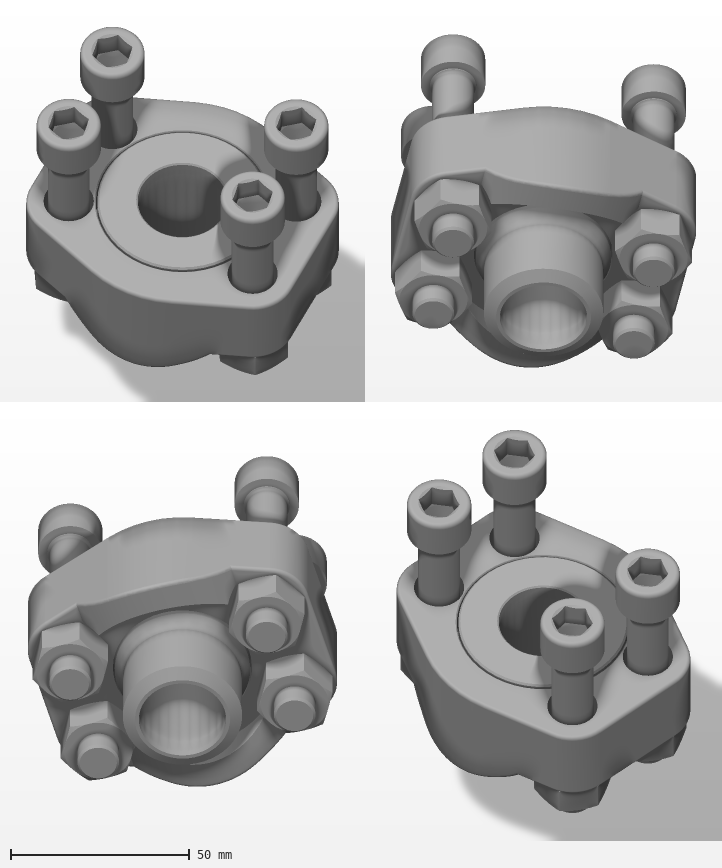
import cadquery as cq
import math


SCREW_X = 57.2 / 2
SCREW_Y = 27.8 / 2
SCREW_POSITIONS = [(sx * SCREW_X, sy * SCREW_Y) for sx in (-1, 1) for sy in (-1, 1)]

FLANGE_BOTTOM = 25.5
FLANGE_THICKNESS = 24.05
FLANGE_TOP = FLANGE_BOTTOM + FLANGE_THICKNESS
FLANGE_HALF_LENGTH = 81.0 / 2
FLANGE_ARC_RADIUS = 69.9 / 2
CORNER_RADIUS = FLANGE_HALF_LENGTH - SCREW_X
FLANGE_FILLET = 1.0
SCREW_HOLE_DIAMETER = 14.0
NUT_RELIEF_DIAMETER = 22.15

LOBE_RADIUS = 31.1
LOBE_DROP = 9.5
LOBE_INNER_RADIUS = 26.8

COLLAR_DIAMETER = 47.6
COLLAR_SEAT_DIAMETER = 48.4
COLLAR_SEAT_CHAMFER = 0.35
COLLAR_HEIGHT = 9.5
COLLAR_PROUD = 0.5
COLLAR_CHAMFER = 0.5
BODY_DIAMETER = 37.9
BODY_BORE_DIAMETER = 38.8
BODY_BELOW_FLANGE = 0.8
NECK_DIAMETER = 33.4
NECK_TOP = 20.15
WELD_BEVEL_DIAMETER = 26.55
WELD_BEVEL_HEIGHT = 2.0
INSERT_TOP = FLANGE_TOP + COLLAR_PROUD
COLLAR_BOTTOM = INSERT_TOP - COLLAR_HEIGHT
BORE_TOP_DIAMETER = 25.0
BORE_END_DIAMETER = 24.4
BORE_STRAIGHT_DEPTH = 4.8
BORE_CHAMFER = 0.4

SCREW_TOP = 86.5
HEAD_DIAMETER = 18.0
HEAD_HEIGHT = 12.0
HEAD_FILLET = 1.3
HEAD_BOTTOM = SCREW_TOP - HEAD_HEIGHT
SHANK_DIAMETER = 11.7
SHANK_LENGTH = 65.0
FLARE_DIAMETER = 13
FLARE_RIM_HEIGHT = 0.35
FLARE_ARC_HEIGHT = 0.95
TIP_DIAMETER = 10.4
TIP_CHAMFER = (SHANK_DIAMETER - TIP_DIAMETER) / 2
SOCKET_FLATS = 10.0
SOCKET_DEPTH = 7.3
SOCKET_MOUTH_DIAMETER = 11.7
SOCKET_ROTATION = 40
SOCKET_CONE_ANGLE = 120
SOCKET_MOUTH_ANGLE = 120

NUT_FLATS = 19
NUT_HEIGHT = 9.95
NUT_CHAMFER_ANGLE = 30


def corner_diameter(flats):
    """Diameter across the corners of a hexagon with the given width across flats."""
    return flats / math.cos(math.radians(30))


def revolved(profile):
    """Solid of revolution about Z from a closed (radius, z) profile."""
    return cq.Workplane("XZ").polyline(profile).close().revolve(360, (0, 0, 0), (0, 1, 0))


def flange_outline():
    """Outline of two broad arcs and four corner arcs joined by tangent lines."""
    screw_distance = math.hypot(SCREW_X, SCREW_Y)
    screw_bearing = math.atan2(SCREW_X, SCREW_Y)
    radius_step = FLANGE_ARC_RADIUS - CORNER_RADIUS
    tilt = screw_bearing - math.acos(radius_step / screw_distance)

    broad_x = FLANGE_ARC_RADIUS * math.sin(tilt)
    broad_y = FLANGE_ARC_RADIUS * math.cos(tilt)
    corner_x = SCREW_X + CORNER_RADIUS * math.sin(tilt)
    corner_y = SCREW_Y + CORNER_RADIUS * math.cos(tilt)
    side_x = FLANGE_HALF_LENGTH
    return (
        cq.Workplane("XY")
        .moveTo(-broad_x, broad_y)
        .radiusArc((broad_x, broad_y), FLANGE_ARC_RADIUS)
        .lineTo(corner_x, corner_y)
        .radiusArc((side_x, SCREW_Y), CORNER_RADIUS)
        .lineTo(side_x, -SCREW_Y)
        .radiusArc((corner_x, -corner_y), CORNER_RADIUS)
        .lineTo(broad_x, -broad_y)
        .radiusArc((-broad_x, -broad_y), FLANGE_ARC_RADIUS)
        .lineTo(-corner_x, -corner_y)
        .radiusArc((-side_x, -SCREW_Y), CORNER_RADIUS)
        .lineTo(-side_x, SCREW_Y)
        .radiusArc((-corner_x, corner_y), CORNER_RADIUS)
        .close()
    )


def make_flange():
    lobe_bottom = FLANGE_BOTTOM - LOBE_DROP
    lobe_half_width = math.sqrt(LOBE_RADIUS**2 - (LOBE_RADIUS - LOBE_DROP) ** 2)

    side_profile = (
        cq.Workplane("XZ")
        .moveTo(-FLANGE_HALF_LENGTH, FLANGE_TOP)
        .lineTo(-FLANGE_HALF_LENGTH, FLANGE_BOTTOM)
        .lineTo(-lobe_half_width, FLANGE_BOTTOM)
        .threePointArc((0, lobe_bottom), (lobe_half_width, FLANGE_BOTTOM))
        .lineTo(FLANGE_HALF_LENGTH, FLANGE_BOTTOM)
        .lineTo(FLANGE_HALF_LENGTH, FLANGE_TOP)
        .close()
        .extrude(FLANGE_ARC_RADIUS, both=True)
    )
    outline_prism = flange_outline().extrude(FLANGE_TOP)
    flange = side_profile.intersect(outline_prism)
    flange = flange.edges("not |Z").edges("not |Y").fillet(FLANGE_FILLET)

    lobe_clearance = cq.Workplane("XY").circle(LOBE_INNER_RADIUS).extrude(FLANGE_BOTTOM)
    nut_reliefs = (
        cq.Workplane("XY")
        .pushPoints(SCREW_POSITIONS)
        .circle(NUT_RELIEF_DIAMETER / 2)
        .extrude(FLANGE_BOTTOM)
    )
    seat = (
        cq.Workplane("XY", origin=(0, 0, COLLAR_BOTTOM))
        .circle(COLLAR_SEAT_DIAMETER / 2)
        .extrude(FLANGE_TOP - COLLAR_BOTTOM)
    )
    seat_mouth_radius = COLLAR_SEAT_DIAMETER / 2 + COLLAR_SEAT_CHAMFER
    seat_mouth = revolved([
        (0, FLANGE_TOP),
        (seat_mouth_radius, FLANGE_TOP),
        (0, FLANGE_TOP - seat_mouth_radius),
    ])
    bore = cq.Workplane("XY").circle(BODY_BORE_DIAMETER / 2).extrude(FLANGE_TOP)
    screw_holes = (
        cq.Workplane("XY")
        .pushPoints(SCREW_POSITIONS)
        .circle(SCREW_HOLE_DIAMETER / 2)
        .extrude(FLANGE_TOP)
    )
    for opening in (lobe_clearance, nut_reliefs, seat, seat_mouth, bore, screw_holes):
        flange = flange.cut(opening)
    return flange


def make_weld_insert():
    neck_radius = NECK_DIAMETER / 2
    body_radius = BODY_DIAMETER / 2
    collar_radius = COLLAR_DIAMETER / 2
    bore_radius = BORE_TOP_DIAMETER / 2
    body_bottom = FLANGE_BOTTOM - BODY_BELOW_FLANGE
    return revolved([
        (BORE_END_DIAMETER / 2, 0),
        (WELD_BEVEL_DIAMETER / 2, 0),
        (neck_radius, WELD_BEVEL_HEIGHT),
        (neck_radius, NECK_TOP),
        (body_radius, body_bottom),
        (body_radius, COLLAR_BOTTOM),
        (collar_radius, COLLAR_BOTTOM),
        (collar_radius, INSERT_TOP - COLLAR_CHAMFER),
        (collar_radius - COLLAR_CHAMFER, INSERT_TOP),
        (bore_radius + BORE_CHAMFER, INSERT_TOP),
        (bore_radius, INSERT_TOP - BORE_CHAMFER),
        (bore_radius, INSERT_TOP - BORE_STRAIGHT_DEPTH),
    ])


def make_socket():
    """Hexagonal key socket with a chamfered mouth and a conical floor."""
    hexagon = (
        cq.Workplane("XY", origin=(0, 0, SCREW_TOP))
        .transformed(rotate=(0, 0, SOCKET_ROTATION))
        .polygon(6, corner_diameter(SOCKET_FLATS))
        .extrude(-SOCKET_DEPTH)
    )
    floor_z = SCREW_TOP - SOCKET_DEPTH
    floor_radius = SOCKET_FLATS / 2
    cone_depth = floor_radius / math.tan(math.radians(SOCKET_CONE_ANGLE / 2))
    floor_cone = revolved([(0, floor_z), (floor_radius, floor_z), (0, floor_z - cone_depth)])

    mouth_radius = SOCKET_MOUTH_DIAMETER / 2
    mouth_depth = mouth_radius / math.tan(math.radians(SOCKET_MOUTH_ANGLE / 2))
    mouth_cone = revolved([(0, SCREW_TOP), (mouth_radius, SCREW_TOP), (0, SCREW_TOP - mouth_depth)])
    return hexagon.union(floor_cone).union(mouth_cone)


def make_screw():
    shank_radius = SHANK_DIAMETER / 2
    tip_z = HEAD_BOTTOM - SHANK_LENGTH
    head = (
        cq.Workplane("XY", origin=(0, 0, HEAD_BOTTOM))
        .circle(HEAD_DIAMETER / 2)
        .extrude(HEAD_HEIGHT)
        .faces(">Z").edges().fillet(HEAD_FILLET)
    )
    rim_z = HEAD_BOTTOM - FLARE_RIM_HEIGHT
    flare_step = (FLARE_DIAMETER - SHANK_DIAMETER) / 2
    flare_radius = (FLARE_ARC_HEIGHT**2 + flare_step**2) / (2 * flare_step)
    shank = (
        cq.Workplane("XZ")
        .moveTo(0, tip_z)
        .lineTo(TIP_DIAMETER / 2, tip_z)
        .lineTo(shank_radius, tip_z + TIP_CHAMFER)
        .lineTo(shank_radius, rim_z - FLARE_ARC_HEIGHT)
        .radiusArc((FLARE_DIAMETER / 2, rim_z), flare_radius)
        .lineTo(FLARE_DIAMETER / 2, HEAD_BOTTOM)
        .lineTo(0, HEAD_BOTTOM)
        .close()
        .revolve(360, (0, 0, 0), (0, 1, 0))
    )
    return head.union(shank).cut(make_socket())


def make_nut():
    """Hex nut with both faces chamfered down to a circle as wide as the flats."""
    corner_radius = corner_diameter(NUT_FLATS) / 2
    face_radius = NUT_FLATS / 2
    chamfer_height = (corner_radius - face_radius) * math.tan(math.radians(NUT_CHAMFER_ANGLE))
    nut_bottom = FLANGE_BOTTOM - NUT_HEIGHT
    hexagon = (
        cq.Workplane("XY", origin=(0, 0, nut_bottom))
        .polygon(6, 2 * corner_radius)
        .extrude(NUT_HEIGHT)
    )
    double_cone = revolved([
        (0, nut_bottom),
        (face_radius, nut_bottom),
        (corner_radius, nut_bottom + chamfer_height),
        (corner_radius, FLANGE_BOTTOM - chamfer_height),
        (face_radius, FLANGE_BOTTOM),
        (0, FLANGE_BOTTOM),
    ])
    thread_hole = cq.Workplane("XY").circle(SHANK_DIAMETER / 2).extrude(FLANGE_BOTTOM)
    return hexagon.intersect(double_cone).cut(thread_hole)


flange = make_flange()
weld_insert = make_weld_insert()
screw = make_screw()
nut = make_nut()
screws = [screw.translate((x, y, 0)) for x, y in SCREW_POSITIONS]
nuts = [nut.translate((x, y, 0)) for x, y in SCREW_POSITIONS]

result = cq.Compound.makeCompound([
    flange.val(),
    weld_insert.val(),
    *[body.val() for body in screws],
    *[body.val() for body in nuts],
])